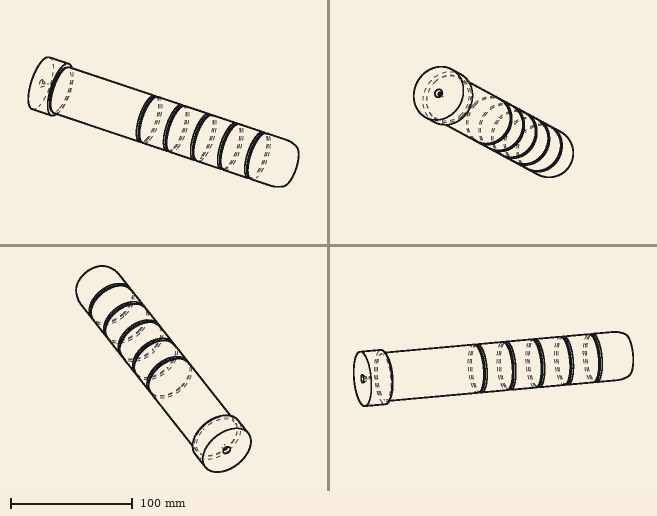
import cadquery as cq
import math

total_length = 230.0
head_diameter = 45.0
head_length = 18.0
body_diameter = 40.0

relief_end = 19.5
relief_depth = 1.0

groove_count = 5
first_groove_x = 100.0
last_groove_x = 200.0
groove_pitch = (last_groove_x - first_groove_x) / (groove_count - 1)
groove_width = 3.0
groove_depth = 0.7

taper_start = 220.0
nose_length = 2.5
taper_drop = 1.5
nose_drop = 4.4

countersink_diameter = 6.7
countersink_angle = 60.0
drill_diameter = 3.2
drill_depth = 6.0
drill_point_angle = 118.0

body_radius = body_diameter / 2
relief_radius = body_radius - relief_depth


def make_pin():
    """Revolve the headed pin, including its relief and lead-in end."""
    nose_start = total_length - nose_length
    taper_end_radius = body_radius - taper_drop
    end_angle = 2 * math.atan2(taper_drop, nose_start - taper_start)
    nose_tangent = (math.cos(end_angle), -math.sin(end_angle))
    profile = (
        cq.Workplane("XY")
        .lineTo(0, head_diameter / 2)
        .lineTo(head_length, head_diameter / 2)
        .lineTo(head_length, relief_radius)
        .lineTo(relief_end, body_radius)
        .lineTo(taper_start, body_radius)
        .tangentArcPoint((nose_start, taper_end_radius), relative=False)
        .spline(
            [(total_length, body_radius - nose_drop)],
            tangents=[nose_tangent, (0, -1)],
            includeCurrent=True,
        )
        .lineTo(total_length, 0)
        .close()
    )
    return profile.revolve(360, (0, 0, 0), (1, 0, 0))


def make_groove(center_x):
    """Ring that cuts one shallow V groove around the body."""
    half_width = groove_width / 2
    return (
        cq.Workplane("XY")
        .moveTo(center_x - half_width, body_radius)
        .lineTo(center_x, body_radius - groove_depth)
        .lineTo(center_x + half_width, body_radius)
        .close()
        .revolve(360, (0, 0, 0), (1, 0, 0))
    )


def make_center_hole():
    """Countersunk drilling with a conical bottom."""
    drill_radius = drill_diameter / 2
    countersink_drop = (countersink_diameter - drill_diameter) / 2
    countersink_depth = countersink_drop / math.tan(math.radians(countersink_angle / 2))
    tip_length = drill_radius / math.tan(math.radians(drill_point_angle / 2))
    return (
        cq.Workplane("XY")
        .lineTo(0, countersink_diameter / 2)
        .lineTo(countersink_depth, drill_radius)
        .lineTo(drill_depth, drill_radius)
        .lineTo(drill_depth + tip_length, 0)
        .close()
        .revolve(360, (0, 0, 0), (1, 0, 0))
    )


result = make_pin().cut(make_center_hole())
for index in range(groove_count):
    result = result.cut(make_groove(first_groove_x + index * groove_pitch))